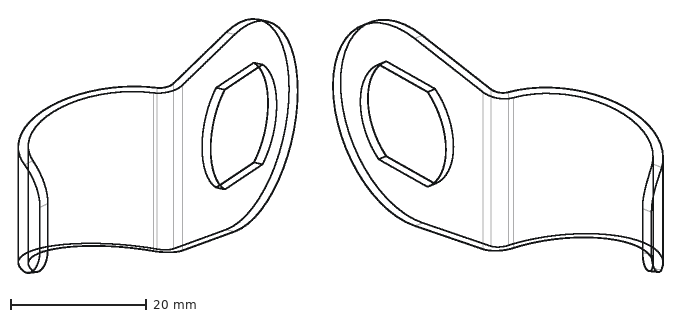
import cadquery as cq
import math

thickness = 1.5
width_x = 16.0
length_y = 64.9
head_diameter = 32.0
head_radius = head_diameter / 2
hole_radius = 9.75
hole_flat_height = 16.0
taper_angle = 9.3
hook_radius = 15.0
hook_distance = 35.0
bend_radius = 2.0
corner_radius = 4.95

hook_inner_radius = hook_radius - thickness
hook_x = hook_radius - width_x
hook_y = -hook_distance
bend_outer_radius = bend_radius + thickness
bend_x = -bend_outer_radius
centre_spacing = hook_radius + bend_radius
bend_y = hook_y + math.sqrt(centre_spacing**2 - (hook_x - bend_x) ** 2)

joint_angle = math.degrees(math.atan2(bend_y - hook_y, bend_x - hook_x))
tip_y = head_radius - length_y
tip_angle = 180 - math.degrees(math.asin((tip_y - hook_y) / hook_radius))
hook_middle_angle = (joint_angle + tip_angle) / 2
bend_middle_angle = (joint_angle - 180) / 2


def polar(x, y, radius, angle):
    """Point at a radius and an angle in degrees around (x, y)."""
    a = math.radians(angle)
    return (x + radius * math.cos(a), y + radius * math.sin(a))


def hook_point(radius, angle):
    return polar(hook_x, hook_y, radius, angle)


def bend_point(radius, angle):
    return polar(bend_x, bend_y, radius, angle)


def make_strip():
    """Bent strip: flat plate, small bend and round hook."""
    return (
        cq.Workplane("XY")
        .moveTo(0, head_radius)
        .lineTo(0, bend_y)
        .threePointArc(
            bend_point(bend_outer_radius, bend_middle_angle),
            hook_point(hook_inner_radius, joint_angle),
        )
        .threePointArc(
            hook_point(hook_inner_radius, hook_middle_angle),
            hook_point(hook_inner_radius, tip_angle),
        )
        .lineTo(*hook_point(hook_radius, tip_angle))
        .threePointArc(
            hook_point(hook_radius, hook_middle_angle),
            hook_point(hook_radius, joint_angle),
        )
        .threePointArc(
            bend_point(bend_radius, bend_middle_angle),
            (-thickness, bend_y),
        )
        .lineTo(-thickness, head_radius)
        .close()
        .extrude(head_radius, both=True)
    )


def make_outline():
    """Round head with tangent sides that taper past the hook tip."""
    slope = math.radians(taper_angle)
    tangent_y = -head_radius * math.sin(slope)
    tangent_z = head_radius * math.cos(slope)
    end_y = -length_y
    end_z = tangent_z + (end_y - tangent_y) * math.tan(slope)
    return (
        cq.Workplane("YZ")
        .moveTo(end_y, end_z)
        .lineTo(tangent_y, tangent_z)
        .threePointArc((head_radius, 0), (tangent_y, -tangent_z))
        .lineTo(end_y, -end_z)
        .close()
        .extrude(width_x * 2, both=True)
    )


def make_hole():
    """Round hole with a flat at top and bottom."""
    half_height = hole_flat_height / 2
    half_flat = math.sqrt(hole_radius**2 - half_height**2)
    return (
        cq.Workplane("YZ")
        .moveTo(-half_flat, half_height)
        .lineTo(half_flat, half_height)
        .threePointArc((hole_radius, 0), (half_flat, -half_height))
        .lineTo(-half_flat, -half_height)
        .threePointArc((-hole_radius, 0), (-half_flat, half_height))
        .close()
        .extrude(thickness * 2, both=True)
    )


clip = make_strip().intersect(make_outline()).cut(make_hole())

tip_middle = hook_point(hook_radius - thickness / 2, tip_angle)
tip_face = clip.faces(cq.selectors.NearestToPointSelector((*tip_middle, 0)))
result = tip_face.edges("not |Z").fillet(corner_radius).solids()